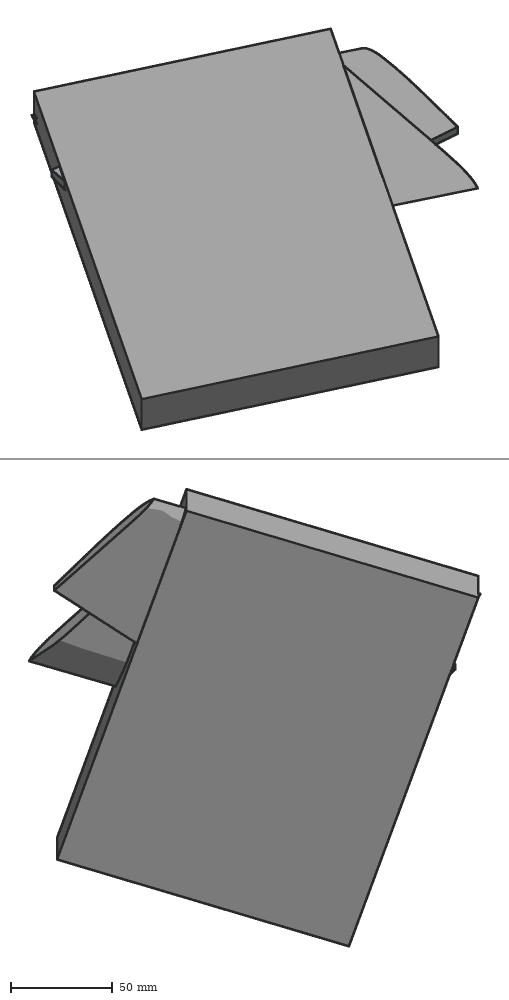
import cadquery as cq
import math

box_x = 203.2
box_y = 152.2
box_z = 24.1

end_angle = 27.0
wedge_floor = 0.8
edge_height = 6.1
edge_x = 62.8
edge_y = 200.3
nose_x = 1.0
wide_nose_y = -1.5
wide_span = 107.5
nose_pull = 4.0
center_x = 56.0
far_edge_y = -4.3
center_y = (edge_y + far_edge_y) / 2
center_z = 11.7

narrow_span = edge_x - nose_x
narrow_nose_y = edge_y - narrow_span * math.tan(math.radians(end_angle))

narrow_crown = [(8.0, 9.5), (14.3, 10.5), (42.0, 9.0)]
wide_crown = [(7.8, 10.5), (15.3, 13.0), (43.0, 12.5), (88.0, 9.2)]
narrow_nose_z = 5.0
wide_nose_z = 7.2
narrow_nose_run = 14.3
wide_nose_run = 22.5


def end_profile(nose_y, span, nose_z, nose_run, crown):
    """Wire in a skewed upright plane: flat floor, rounded nose, crowned top, blunt edge.

    crown lists (X distance from the nose, Z) points along the top.
    """
    stretch = 1 / math.cos(math.radians(end_angle))
    plane = cq.Plane(
        origin=(nose_x, nose_y, 0),
        xDir=(math.cos(math.radians(end_angle)), math.sin(math.radians(end_angle)), 0),
        normal=(math.sin(math.radians(end_angle)), -math.cos(math.radians(end_angle)), 0),
    )
    top_points = [(x * stretch, z) for x, z in crown]
    edge = span * stretch
    return (
        cq.Workplane(plane)
        .moveTo(edge, wedge_floor)
        .lineTo(nose_run * stretch, wedge_floor)
        .bezier([(nose_pull, wedge_floor), (0, nose_z)], includeCurrent=True)
        .spline(top_points + [(edge, edge_height)], includeCurrent=True)
        .close()
        .val()
    )


def make_lower_wedge():
    """Straight-sided loft between the narrow and wide ends."""
    narrow_end = end_profile(narrow_nose_y, narrow_span, narrow_nose_z, narrow_nose_run, narrow_crown)
    wide_end = end_profile(wide_nose_y, wide_span, wide_nose_z, wide_nose_run, wide_crown)
    return cq.Solid.makeLoft([narrow_end, wide_end], True)


def make_upper_wedge(lower_wedge):
    """Reflect the lower wedge through the centre point."""
    center = cq.Vector(center_x, center_y, center_z)
    turned = lower_wedge.rotate(center, center + cq.Vector(0, 0, 2), 180)
    return turned.mirror("XY", center)


def make_box(wedges):
    """Solid box with a matching through recess for each wedge."""
    box = cq.Workplane("XY").box(box_x, box_y, box_z, centered=False)
    for wedge in wedges:
        box = box.cut(cq.Workplane(wedge))
    return box


lower_wedge = make_lower_wedge()
upper_wedge = make_upper_wedge(lower_wedge)
box = make_box([lower_wedge, upper_wedge])

result = cq.Compound.makeCompound([box.val(), lower_wedge, upper_wedge])